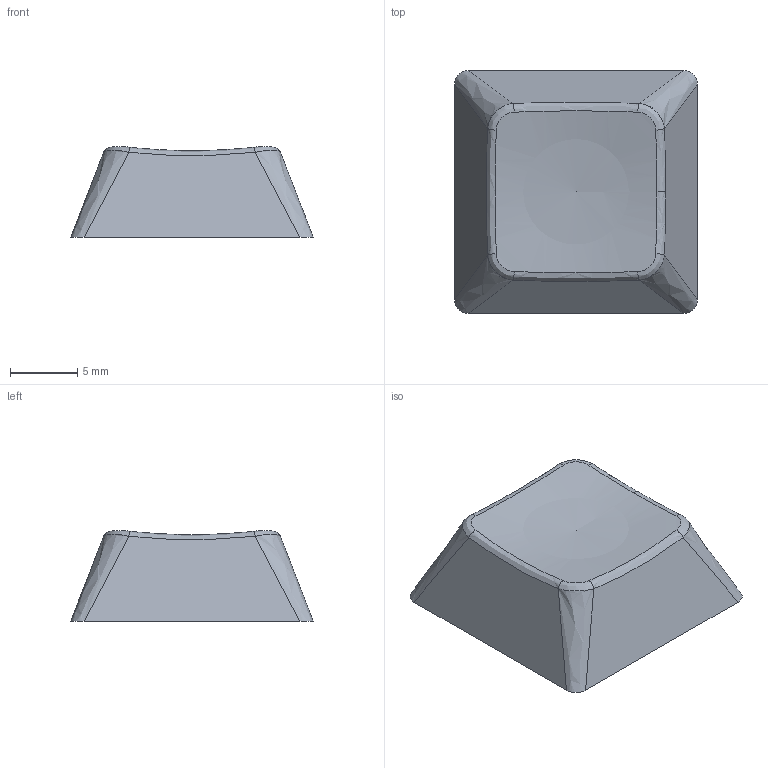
import cadquery as cq


BASE_WIDTH = 18.0
BASE_CORNER_RADIUS = 1.0
LOFT_HEIGHT = 8.0
LOFT_TOP_WIDTH = 11.8
LOFT_TOP_CORNER_RADIUS = 2.1
DISH_RADIUS = 41.0
DISH_CENTRE_HEIGHT = 6.0
RIM_FILLET_RADIUS = 0.6


def rounded_square(width, corner_radius):
    """Square sketch centred on the Z axis with rounded corners."""
    return cq.Sketch().rect(width, width).vertices().fillet(corner_radius)


def make_body():
    """Tapered block whose corner radius grows from base to top."""
    base = rounded_square(BASE_WIDTH, BASE_CORNER_RADIUS)
    top = rounded_square(LOFT_TOP_WIDTH, LOFT_TOP_CORNER_RADIUS)
    top = top.moved(cq.Location(cq.Vector(0, 0, LOFT_HEIGHT)))
    return cq.Workplane("XY").placeSketch(base, top).loft(ruled=True)


def cut_dish(body):
    """Remove everything inside a large sphere centred above the part."""
    sphere_centre_z = DISH_CENTRE_HEIGHT + DISH_RADIUS
    sphere = cq.Workplane("XY").sphere(DISH_RADIUS).translate((0, 0, sphere_centre_z))
    return body.cut(sphere)


def round_rim(body):
    """Fillet the edge all round the dish."""
    return body.faces("%SPHERE").edges().fillet(RIM_FILLET_RADIUS)


result = round_rim(cut_dish(make_body()))